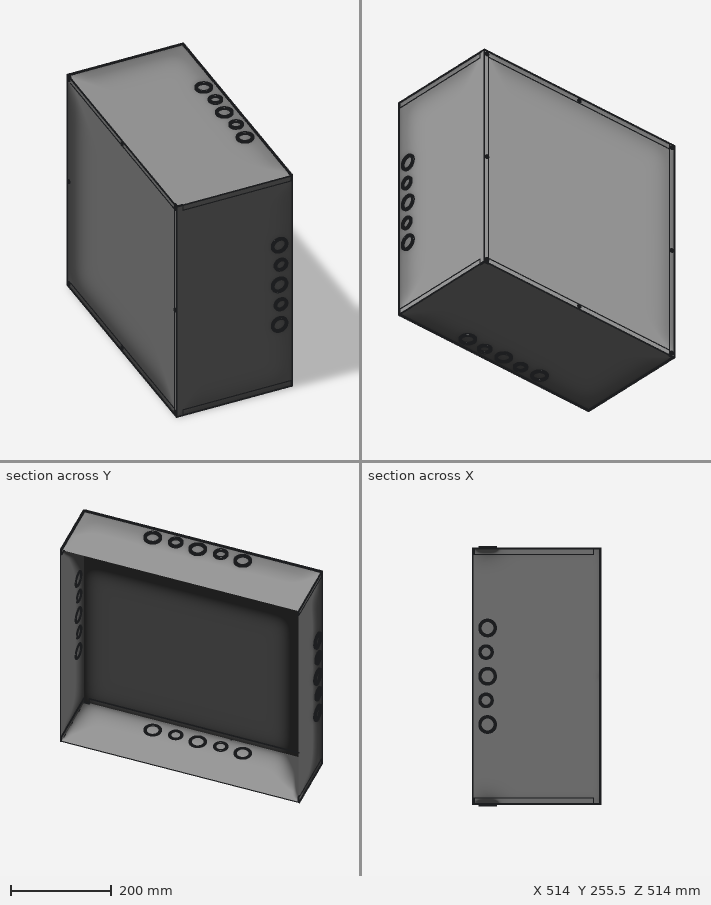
import cadquery as cq

BOX_SIDE = 508.0
TOTAL_DEPTH = 255.5
SHEET = 1.5
BEND_INNER = 0.5
BEND_OUTER = BEND_INNER + SHEET
LIP = 13.0

BACK_Y = TOTAL_DEPTH / 2
COVER_FRONT_Y = -TOTAL_DEPTH / 2
BOX_FRONT_Y = COVER_FRONT_Y + SHEET
HALF_SIDE = BOX_SIDE / 2

PLATE_HALF_WIDTH = HALF_SIDE - SHEET
PLATE_BACK_Y = BACK_Y - SHEET
SIDE_LIP_FRONT_GAP = 15.0
SIDE_LIP_BACK_GAP = 4.0
CROSS_LIP_HALF_LENGTH = HALF_SIDE - LIP

SCREW_INSET = 7.5
COVER_HOLE_DIAMETER = 7.5
LIP_HOLE_DIAMETER = 4.3

RING_HEIGHT = 2 * SHEET
RING_WIDTH = 3 * SHEET
RING_PITCH = 48.0
RING_BACK_GAP = 13.0
LARGE_RING_DIAMETER = 35.0
SMALL_RING_DIAMETER = 29.0
RING_DIAMETERS = [
    LARGE_RING_DIAMETER,
    SMALL_RING_DIAMETER,
    LARGE_RING_DIAMETER,
    SMALL_RING_DIAMETER,
    LARGE_RING_DIAMETER,
]


def block(x_range, y_range, z_range):
    """Box between the two limits given for each axis."""
    sizes = [high - low for low, high in (x_range, y_range, z_range)]
    corner = (x_range[0], y_range[0], z_range[0])
    return cq.Workplane("XY").box(*sizes, centered=False).translate(corner)


def screw_holes(diameter):
    """Cutters for the eight cover screws, passing through the cover and the lips behind it."""
    reach = HALF_SIDE - SCREW_INSET
    steps = (-reach, 0, reach)
    points = [(x, z) for x in steps for z in steps if (x, z) != (0, 0)]
    length = 3 * SHEET
    return (
        cq.Workplane("XZ", origin=(0, COVER_FRONT_Y, 0))
        .pushPoints(points)
        .circle(diameter / 2)
        .extrude(-length)
    )


def annulus(outer_diameter, width, bottom_z, top_z):
    """Upright ring centred on the Z axis."""
    return (
        cq.Workplane("XY", origin=(0, 0, bottom_z))
        .circle(outer_diameter / 2)
        .circle(outer_diameter / 2 - width)
        .extrude(top_z - bottom_z)
    )


def with_top_knockouts(wall):
    """Emboss the row of five knockout rings into the wall at the top of the box.

    Each ring is the sheet pressed outward: a raised rim outside and a groove inside.
    """
    middle = (len(RING_DIAMETERS) - 1) / 2
    for index, diameter in enumerate(RING_DIAMETERS):
        place = (
            (index - middle) * RING_PITCH,
            BACK_Y - RING_BACK_GAP - diameter / 2,
            HALF_SIDE,
        )
        rim = annulus(diameter, RING_WIDTH, -SHEET, RING_HEIGHT)
        groove = annulus(diameter - 2 * SHEET, RING_WIDTH - 2 * SHEET, -SHEET, RING_HEIGHT - SHEET)
        wall = wall.union(rim.translate(place)).cut(groove.translate(place))
    return wall


def turned_about_y(shape, angle):
    """Copy of the shape turned about the Y axis, by an angle in degrees."""
    return shape.rotate((0, 0, 0), (0, 1, 0), angle)


def make_wrapper():
    """Back and both side walls folded from one sheet, with a front lip on each side wall."""
    full_height = (-HALF_SIDE, HALF_SIDE)
    outside = block((-HALF_SIDE, HALF_SIDE), (BOX_FRONT_Y, BACK_Y), full_height)
    outside = outside.edges("|Z").fillet(BEND_OUTER)
    inner_half = HALF_SIDE - SHEET
    inside = block((-inner_half, inner_half), (BOX_FRONT_Y + SHEET, BACK_Y - SHEET), full_height)
    inside = inside.edges("|Z").fillet(BEND_INNER)
    opening_half = HALF_SIDE - LIP
    opening = block((-opening_half, opening_half), (BOX_FRONT_Y, 0), full_height)
    wrapper = outside.cut(inside).cut(opening).cut(screw_holes(LIP_HOLE_DIAMETER))
    for angle in (90, -90):
        wrapper = turned_about_y(with_top_knockouts(turned_about_y(wrapper, angle)), -angle)
    return wrapper


def bent_lip(length):
    """Lip along X, folded down at the -Y edge of a sheet whose outer corner is the origin."""
    bend_middle = BEND_OUTER * (1 - 0.5**0.5)
    inner_middle = BEND_OUTER - BEND_INNER * 0.5**0.5
    return (
        cq.Workplane("YZ", origin=(-length / 2, 0, 0))
        .moveTo(BEND_OUTER, 0)
        .threePointArc((bend_middle, -bend_middle), (0, -BEND_OUTER))
        .lineTo(0, -LIP)
        .lineTo(SHEET, -LIP)
        .lineTo(SHEET, -BEND_OUTER)
        .threePointArc((inner_middle, -inner_middle), (BEND_OUTER, -SHEET))
        .close()
        .extrude(length)
    )


def make_top_plate():
    """Top end plate with lips folded down on all four edges."""
    flat_half = PLATE_HALF_WIDTH - BEND_OUTER
    plate = block(
        (-flat_half, flat_half),
        (BOX_FRONT_Y + BEND_OUTER, PLATE_BACK_Y - BEND_OUTER),
        (HALF_SIDE - SHEET, HALF_SIDE),
    )

    cross_lip = bent_lip(2 * CROSS_LIP_HALF_LENGTH)
    front_lip = cross_lip.translate((0, BOX_FRONT_Y, HALF_SIDE)).cut(screw_holes(LIP_HOLE_DIAMETER))
    rear_lip = cross_lip.rotate((0, 0, 0), (0, 0, 1), 180).translate((0, PLATE_BACK_Y, HALF_SIDE))
    plate = plate.union(front_lip).union(rear_lip)

    side_front_y = COVER_FRONT_Y + SIDE_LIP_FRONT_GAP
    side_back_y = BACK_Y - SIDE_LIP_BACK_GAP
    side_lip = bent_lip(side_back_y - side_front_y)
    side_middle_y = (side_front_y + side_back_y) / 2
    for side, angle in ((-1, -90), (1, 90)):
        turned = side_lip.rotate((0, 0, 0), (0, 0, 1), angle)
        plate = plate.union(turned.translate((side * PLATE_HALF_WIDTH, side_middle_y, HALF_SIDE)))

    return with_top_knockouts(plate)


def make_cover():
    """Flat screw-on front cover."""
    cover = block((-HALF_SIDE, HALF_SIDE), (COVER_FRONT_Y, BOX_FRONT_Y), (-HALF_SIDE, HALF_SIDE))
    return cover.cut(screw_holes(COVER_HOLE_DIAMETER))


wrapper = make_wrapper()
end_plates = [turned_about_y(make_top_plate(), angle) for angle in (0, 180)]
cover = make_cover()

result = cq.Compound.makeCompound([wrapper.val(), *[plate.val() for plate in end_plates], cover.val()])